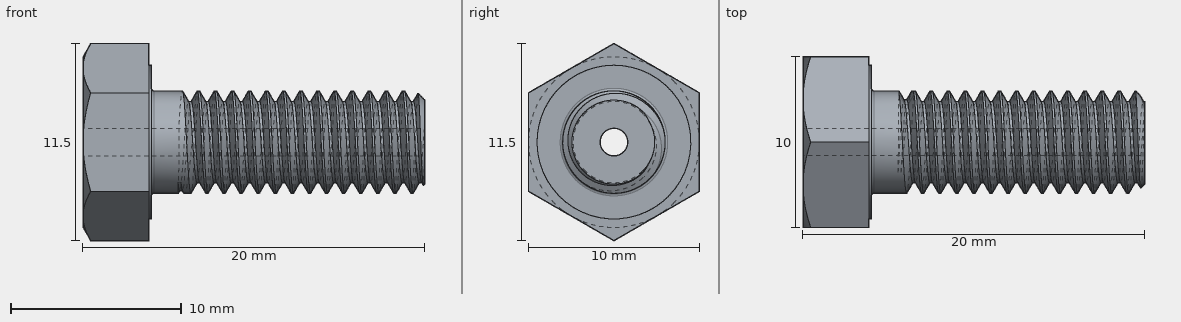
import cadquery as cq
import math


across_flats = 10.0
hexagon_half_angle = 30.0
head_height = 3.85
across_corners = across_flats / math.cos(math.radians(hexagon_half_angle))
head_chamfer_angle = 30.0

washer_diameter = 9.0
washer_thickness = 0.15
washer_end = head_height + washer_thickness
underhead_fillet = 0.15

bolt_length = 20.0
shank_diameter = 6.0
shank_radius = shank_diameter / 2
tip_chamfer = 0.54
bore_diameter = 1.6

pitch = 1.0
groove_at_plus_y = 6.0
full_depth_angle = 22.0
lead_in_angle = 150.0
lead_in_steps = 10
thread_depth = 0.6134 * pitch
crest_flat = pitch / 8
thread_angle = 60.0
flank_slope = math.tan(math.radians(thread_angle / 2))
root_radius = shank_radius - thread_depth
overcut = 0.1
shank_seam_angle = 90.0


def make_head():
    """Hexagonal prism with corners on +Z and -Z, corners chamfered by a cone at the free face."""
    prism = (
        cq.Workplane("YZ")
        .polygon(6, across_corners)
        .extrude(head_height)
        .rotate((0, 0, 0), (1, 0, 0), hexagon_half_angle)
    )
    face_radius = across_flats / 2
    outer_radius = across_corners
    cone_depth = (outer_radius - face_radius) * math.tan(math.radians(head_chamfer_angle))
    chamfer_envelope = (
        cq.Workplane("XY")
        .moveTo(0, 0)
        .lineTo(0, face_radius)
        .lineTo(cone_depth, outer_radius)
        .lineTo(head_height, outer_radius)
        .lineTo(head_height, 0)
        .close()
        .revolve(360, (0, 0, 0), (1, 0, 0))
    )
    return prism.intersect(chamfer_envelope)


def make_shank():
    """Washer face, underhead fillet, plain shank and chamfered tip, as one turned profile."""
    fillet_middle = underhead_fillet * (1 - math.sqrt(0.5))
    return (
        cq.Workplane("XY")
        .moveTo(head_height, 0)
        .lineTo(head_height, washer_diameter / 2)
        .lineTo(washer_end, washer_diameter / 2)
        .lineTo(washer_end, shank_radius + underhead_fillet)
        .threePointArc(
            (washer_end + fillet_middle, shank_radius + fillet_middle),
            (washer_end + underhead_fillet, shank_radius),
        )
        .lineTo(bolt_length - tip_chamfer, shank_radius)
        .lineTo(bolt_length, shank_radius - tip_chamfer)
        .lineTo(bolt_length, 0)
        .close()
        .revolve(360, (0, 0, 0), (1, 0, 0))
    )


def groove_profile(radial_shift):
    """Axial section of the groove, in the XZ plane, moved outwards by radial_shift."""
    mouth_half = (pitch - crest_flat) / 2
    root_half = mouth_half - thread_depth * flank_slope
    outer_half = mouth_half + overcut * flank_slope
    inner = root_radius + radial_shift
    outer = shank_radius + overcut + radial_shift
    corners = [(inner, -root_half), (inner, root_half), (outer, outer_half), (outer, -outer_half)]
    return cq.Workplane("XZ").polyline(corners).close()


def lay_along_bolt(cutter):
    """Move a cutter made around Z, with full depth at +X, to its place on the bolt axis."""
    return (
        cutter
        .rotate((0, 0, 0), (0, 0, 1), 90 + full_depth_angle)
        .rotate((0, 0, 0), (0, 1, 0), 90)
        .translate((groove_at_plus_y + pitch * full_depth_angle / 360, 0, 0))
    )


def make_thread_groove():
    """Right-hand helical cutter of full depth."""
    helix_length = bolt_length - groove_at_plus_y + pitch
    helix = cq.Wire.makeHelix(pitch, helix_length, shank_radius)
    return lay_along_bolt(groove_profile(0).sweep(cq.Workplane(helix), isFrenet=True))


def make_lead_in():
    """Cutter that spirals inwards from the shank surface to the start of the full-depth groove."""
    sections = []
    for step in range(lead_in_steps + 1):
        remaining = 1 - step / lead_in_steps
        angle_to_go = lead_in_angle * remaining
        section = groove_profile(thread_depth * remaining).wire().val()
        section = section.rotate(cq.Vector(0, 0, 0), cq.Vector(0, 0, 1), -angle_to_go)
        sections.append(section.translate(cq.Vector(0, 0, -pitch * angle_to_go / 360)))
    return lay_along_bolt(cq.Workplane(cq.Solid.makeLoft(sections)))


shank = make_shank().rotate((0, 0, 0), (1, 0, 0), shank_seam_angle)
threaded_shank = shank.cut(make_thread_groove()).cut(make_lead_in())
bore = cq.Workplane("YZ").circle(bore_diameter / 2).extrude(bolt_length)
result = make_head().union(threaded_shank).cut(bore)